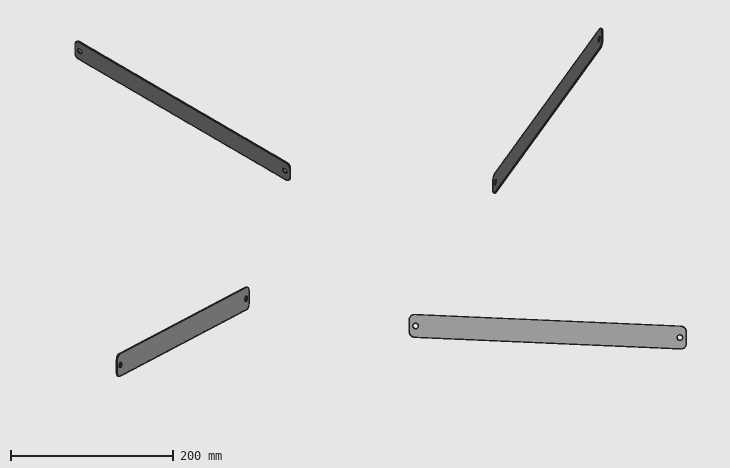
import cadquery as cq

strip_length = 347.5
strip_height = 29.0
strip_thickness = 1.8
corner_radius = 7.0
hole_diameter = 7.0
hole_end_distance = 8.0

strip = cq.Workplane("XY").box(strip_length, strip_thickness, strip_height)
strip = strip.edges("|Y").fillet(corner_radius)

hole_offset = strip_length / 2 - hole_end_distance
result = (
    strip.faces("<Y")
    .workplane(centerOption="CenterOfBoundBox")
    .pushPoints([(-hole_offset, 0), (hole_offset, 0)])
    .hole(hole_diameter)
)